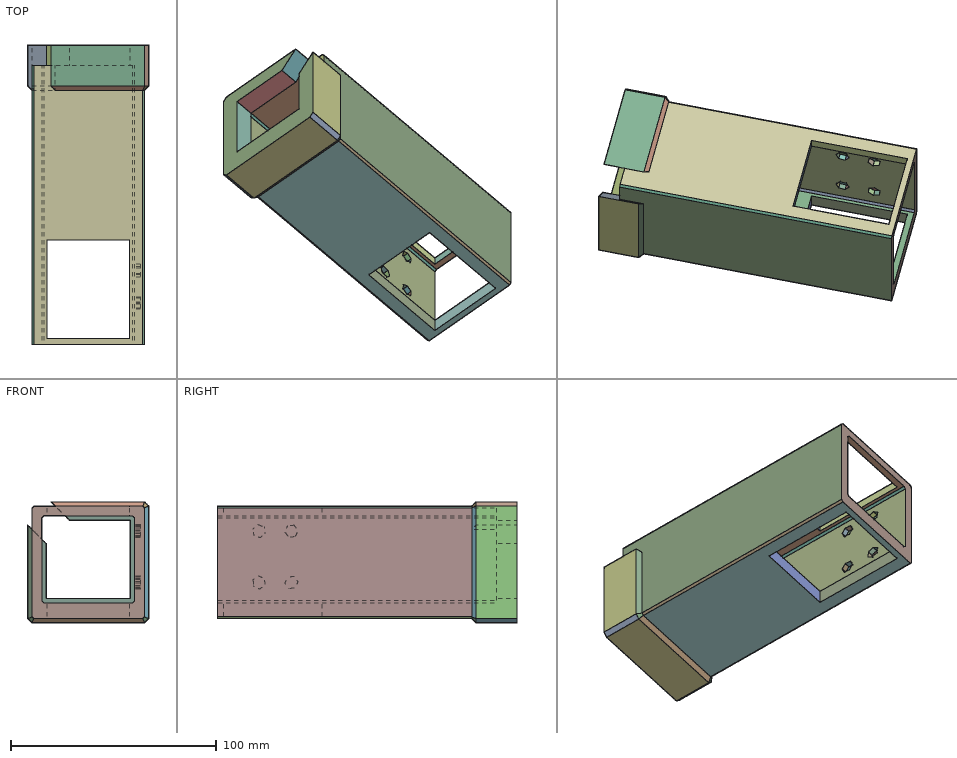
import cadquery as cq

length = 146.0
tube_width = 54.9
collar_lip = 2.0
tube_edge = 1.0
collar_depth = 20.0
collar_overhang = 10.1

bore_width = 45.3
bore_height = 42.3
side_wall = 4.8
top_wall = 4.8
bore_edge = 1.0
bore_step = 2.2

slot_width = 16.0

window_width = 40.0
window_length = 47.9
window_offset = 3.0

socket_sides = 6
socket_diameter = 6.4
socket_depth = 2.8
socket_front_y = 20.3
socket_back_y = 36.0
socket_upper_z = 15.2
socket_lower_z = -9.8
front_upper_turn = 38.4
front_lower_turn = 34.7
back_turn = 6.8

collar_width = tube_width + 2 * collar_lip
tube_length = length - collar_overhang
collar_front = length - collar_depth - collar_lip
bore_x = side_wall + bore_width / 2 - tube_width / 2
bore_z = tube_width / 2 - top_wall - bore_height / 2


def bar(width, height, start, end, x=0.0, z=0.0):
    """Rectangular bar along Y between start and end, centred on (x, z)."""
    return cq.Workplane("XY").box(width, end - start, height).translate((x, (start + end) / 2, z))


def make_tube():
    """Square tube with chamfered long edges."""
    return bar(tube_width, tube_width, 0, tube_length).edges("|Y").chamfer(tube_edge)


def make_collar():
    """Collar with bevelled long edges and front rim, split by a slot at its upper left corner."""
    collar = bar(collar_width, collar_width, collar_front, length)
    collar = collar.edges("|Y").chamfer(collar_lip).faces("<Y").chamfer(collar_lip)
    slot = bar(collar_width, slot_width, collar_front, length, x=-collar_width / 2)
    slot = slot.rotate((0, 0, 0), (0, 1, 0), 45)
    return collar.cut(slot)


def make_bore():
    """Chamfered bore of the tube and the smaller opening through the collar."""
    bore = bar(bore_width, bore_height, 0, tube_length, bore_x, bore_z).edges("|Y").chamfer(bore_edge)
    opening = bar(bore_width - 2 * bore_step, bore_height - 2 * bore_step, 0, length, bore_x, bore_z)
    return bore.union(opening)


def make_window():
    """Rectangular window through the top and bottom walls."""
    return bar(window_width, 2 * tube_width, window_offset, window_offset + window_length)


def make_socket(y, z, turn):
    """Hexagonal socket sunk into the inner face of the right wall."""
    socket = cq.Workplane("YZ").polygon(socket_sides, socket_diameter).extrude(socket_depth)
    return socket.rotate((0, 0, 0), (1, 0, 0), turn).translate((bore_x + bore_width / 2, y, z))


result = make_tube().union(make_collar()).cut(make_bore()).cut(make_window())

sockets = [
    (socket_front_y, socket_upper_z, front_upper_turn),
    (socket_front_y, socket_lower_z, front_lower_turn),
    (socket_back_y, socket_upper_z, back_turn),
    (socket_back_y, socket_lower_z, back_turn),
]
for y, z, turn in sockets:
    result = result.cut(make_socket(y, z, turn))